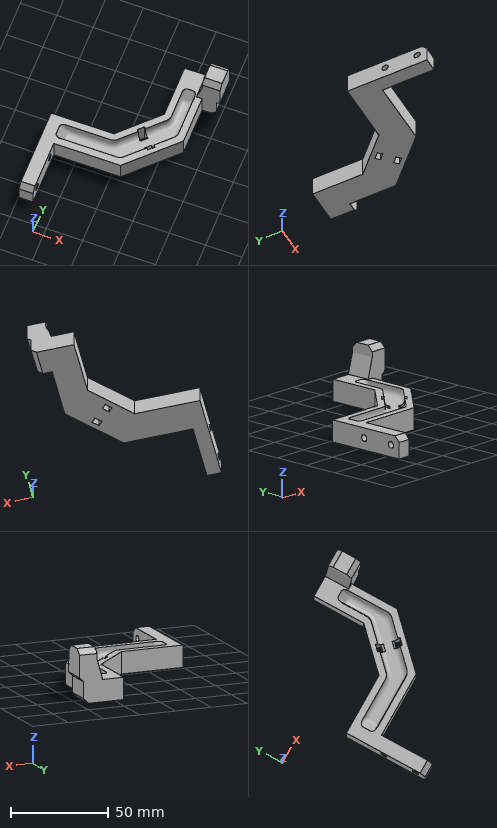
import cadquery as cq
import math

length_y = 95.75
plate_height = 12.0
chamfer = 3.0
leg_width = 7.85
arm_bottom = 30.0
arm_top = 46.4
arm_left = 54.6
arm_right = 69.6
lower_bend_x = 44.5
upper_bend_x = 34.6

hook_depth = 13.9
hook_top = 29.0
hook_outer_x = 79.5
hook_base_x = 77.4
hook_lean = 3.2
hook_slope_top = 23.1

wall = 4.0
pocket_depth = 5.0
pocket_left = 6.9
pocket_end_y = 84.6
bend_radius = 5.0
floor_fillet = 3.0
end_fillet = 2.0

overshoot = 0.5

slot_length = 4.0
slot_inner = 3.5
slot_width = 3.0
shoulder_drop = 0.2
slot_center_x = 51.0

hole_diameter = 3.5
hole_height = 6.6
hole_positions_y = (5.7, 24.3)

upper_diagonal = arm_top - upper_bend_x
lower_diagonal = arm_bottom - lower_bend_x
middle_diagonal = (upper_diagonal + lower_diagonal) / 2
diagonal_half_width = (upper_diagonal - lower_diagonal) / (2 * math.sqrt(2))
pocket_floor = plate_height - pocket_depth
floor_half_width = diagonal_half_width - wall - floor_fillet


def plate():
    outline = [
        (0, 0),
        (leg_width, 0),
        (leg_width, arm_bottom),
        (lower_bend_x, arm_bottom),
        (arm_right, arm_right + lower_diagonal),
        (arm_right, length_y),
        (arm_left, length_y),
        (arm_left, arm_left + upper_diagonal),
        (upper_bend_x, arm_top),
        (0, arm_top),
    ]
    body = cq.Workplane("XY").polyline(outline).close().extrude(plate_height)
    return body.faces("<Y").edges(">Z").chamfer(chamfer)


def hook():
    kick = hook_outer_x - hook_base_x
    profile = [
        (arm_left, 0),
        (hook_base_x - chamfer, 0),
        (hook_base_x, chamfer),
        (hook_base_x, plate_height),
        (hook_outer_x, plate_height + kick),
        (hook_outer_x, hook_top),
        (arm_right, hook_top),
        (arm_right, hook_slope_top),
        (arm_right - hook_lean, plate_height),
        (arm_left, plate_height),
    ]
    body = (
        cq.Workplane("XZ", origin=(0, length_y, 0))
        .polyline(profile).close().extrude(hook_depth)
    )
    return body.faces(">Z").edges("|X").chamfer(chamfer)


def pocket():
    """Pocket volume: 45 degree ends, rounded bends and a filleted floor.

    It reaches above the plate so that its ends slope all the way to the top face.
    """
    bottom = arm_bottom + wall
    top = arm_top - wall
    left = arm_left + wall
    right = arm_right - wall
    upper = upper_diagonal - wall * math.sqrt(2)
    lower = lower_diagonal + wall * math.sqrt(2)
    slope_height = pocket_depth + overshoot
    start_x = pocket_left - overshoot
    end_y = pocket_end_y + overshoot
    outline = [
        (start_x, bottom),
        (bottom - lower, bottom),
        (right, right + lower),
        (right, end_y),
        (left, end_y),
        (left, left + upper),
        (top - upper, top),
        (start_x, top),
    ]
    body = (
        cq.Workplane("XY", origin=(0, 0, pocket_floor))
        .polyline(outline).close().extrude(slope_height + overshoot)
    )
    between_ends = cq.selectors.BoxSelector(
        (start_x + overshoot, 0, 0), (length_y, end_y - overshoot, length_y))
    body = body.edges("|Z").edges(between_ends).fillet(bend_radius)
    body = body.faces("<X or >Y").edges("<Z").chamfer(slope_height)
    body = body.faces("<Z").edges("not(<X or >Y)").fillet(floor_fillet)

    slopes = body.faces(cq.selectors.ParallelDirSelector(cq.Vector(1, 0, 1)))
    slopes = slopes.add(body.faces(cq.selectors.ParallelDirSelector(cq.Vector(0, -1, 1))))
    inner_edges = slopes.edges(cq.selectors.BoxSelector(
        (0, 0, 0), (length_y, length_y, plate_height + overshoot / 2)))
    body = body.newObject(inner_edges.vals()).fillet(end_fillet)
    return body


def strap_slots():
    """Two through slots, each with a rounded shoulder that leads up to the pocket floor."""
    slot_outer = slot_inner + slot_width
    shoulder_top = pocket_floor - shoulder_drop
    shoulder_round = slot_inner - floor_half_width
    cut_top = plate_height + overshoot
    center = (slot_center_x, slot_center_x + middle_diagonal, 0)
    across = cq.Plane(origin=center, xDir=(1, -1, 0), normal=(1, 1, 0))
    opening = (
        cq.Workplane(across)
        .rect(2 * slot_outer, 2 * cut_top)
        .extrude(slot_length / 2, both=True)
    )
    shoulders = (
        cq.Workplane(across)
        .rect(2 * slot_inner, 2 * shoulder_top)
        .extrude(slot_length, both=True)
        .edges(cq.selectors.ParallelDirSelector(cq.Vector(1, 1, 0)))
        .edges(">Z")
        .fillet(shoulder_round)
    )
    floor_strip = (
        cq.Workplane(across)
        .rect(2 * floor_half_width, 2 * cut_top)
        .extrude(slot_length, both=True)
    )
    return opening.cut(shoulders).cut(floor_strip)


def screw_holes():
    centers = [(y, hole_height) for y in hole_positions_y]
    return (
        cq.Workplane("YZ")
        .pushPoints(centers)
        .circle(hole_diameter / 2)
        .extrude(leg_width)
    )


result = (
    plate()
    .union(hook())
    .cut(pocket())
    .cut(strap_slots())
    .cut(screw_holes())
)